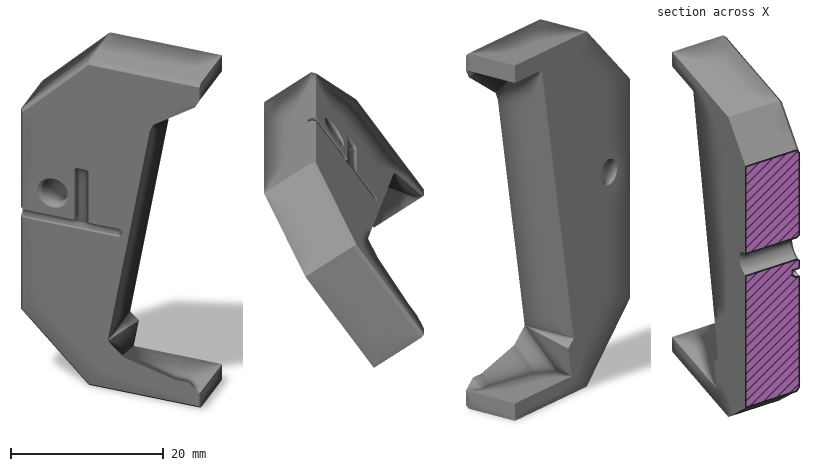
import cadquery as cq

width = 25.3
thickness = 8.0
height = 49.7
corner_cut = 9.55
edge_chamfer = 0.45

tip_thickness = 2.45
upper_tip_z = height - tip_thickness
lower_tip_z = tip_thickness
upper_jaw = [(24.65, 46.1), (18.8, 42.1), (18.3, 41.05)]
lower_jaw = [(12.4, 7.6), (14.7, 5.55), (21.85, 3.8), (23.75, 3.8)]
jaw_outline = [(width, upper_tip_z)] + upper_jaw + lower_jaw + [(width, lower_tip_z)]

hole_diameter = 3.6
hole_x = 4.65
hole_z = 28.55
hole_chamfer = 0.4

recess_depth = 1.05
groove_end_x = 14.4
groove_bottom_z = 23.85
groove_top_z = 25.1
slot_left_x = 7.7
slot_width = 2.0
slot_top_z = 33.1
recess_corner = 0.45


def front_block(left, right, bottom, top, depth):
    """Box going back from the front face."""
    return cq.Workplane("XY").box(right - left, depth, top - bottom, centered=False).translate((left, 0, bottom))


def make_body():
    outer = [
        (width, 0),
        (corner_cut, 0),
        (0, corner_cut),
        (0, height - corner_cut),
        (corner_cut, height),
        (width, height),
    ]
    body = cq.Workplane("XZ").polyline(outer + jaw_outline).close().extrude(-thickness)

    outer_edges = None
    for (x1, z1), (x2, z2) in zip(outer, outer[1:]):
        middle = ((x1 + x2) / 2, 0, (z1 + z2) / 2)
        edge = body.edges(cq.selectors.NearestToPointSelector(middle))
        outer_edges = edge if outer_edges is None else outer_edges.add(edge)
    return outer_edges.chamfer(edge_chamfer)


def inner_wall_x(z):
    """X position of the straight wall between the jaws, extended to height z."""
    upper_x, upper_z = upper_jaw[-1]
    lower_x, lower_z = lower_jaw[0]
    return lower_x + (z - lower_z) * (upper_x - lower_x) / (upper_z - lower_z)


def make_jaw_relief():
    """Space behind the jaw lips, which slope back at 45 degrees to flat jaws of tip thickness."""
    limits = (
        cq.Workplane("XZ")
        .moveTo(width, lower_tip_z)
        .lineTo(width, upper_tip_z)
        .lineTo(inner_wall_x(upper_tip_z), upper_tip_z)
        .lineTo(inner_wall_x(lower_tip_z), lower_tip_z)
        .close()
        .extrude(-thickness)
    )
    mouth = cq.Face.makeFromWires(cq.Workplane("XZ").polyline(jaw_outline).close().val())
    upper_slope = cq.Solid.extrudeLinear(mouth, cq.Vector(0, thickness, thickness))
    lower_slope = cq.Solid.extrudeLinear(mouth, cq.Vector(0, thickness, -thickness))
    return limits.intersect(cq.Workplane(upper_slope)).union(limits.intersect(cq.Workplane(lower_slope)))


def make_hole():
    countersink = cq.Solid.makeCone(
        hole_diameter / 2 + hole_chamfer,
        hole_diameter / 2,
        hole_chamfer,
        cq.Vector(hole_x, 0, hole_z),
        cq.Vector(0, 1, 0),
    )
    bore = cq.Workplane("XZ").center(hole_x, hole_z).circle(hole_diameter / 2).extrude(-thickness)
    return bore.union(cq.Workplane(countersink))


def make_recess():
    groove = front_block(0, groove_end_x, groove_bottom_z, groove_top_z, recess_depth)
    groove = groove.edges("|Y and >X and >Z").fillet(recess_corner)
    groove = groove.edges("|Y and >X and <Z").chamfer(recess_corner)
    bevel = (
        cq.Workplane("YZ")
        .moveTo(recess_depth, groove_bottom_z)
        .lineTo(recess_depth, groove_bottom_z + recess_corner)
        .lineTo(recess_depth - recess_corner, groove_bottom_z)
        .close()
        .extrude(groove_end_x)
    )
    groove = groove.cut(bevel)

    slot_bottom_z = groove_top_z - recess_corner
    slot = front_block(slot_left_x, slot_left_x + slot_width, slot_bottom_z, slot_top_z, recess_depth)
    slot = slot.edges("|Y and >Z").fillet(recess_corner)
    return groove.union(slot)


result = make_body().cut(make_jaw_relief()).cut(make_hole()).cut(make_recess())